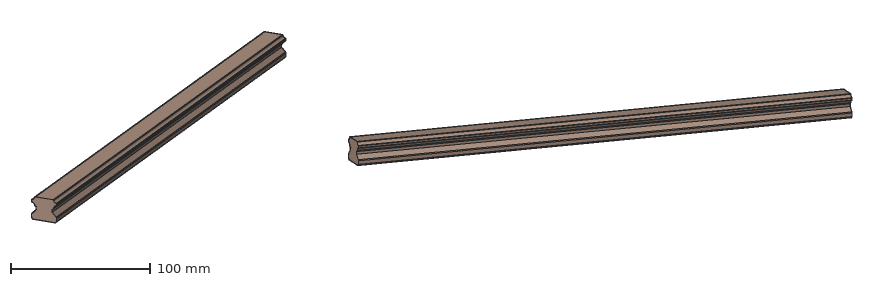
import cadquery as cq
import math

length = 380.0
width = 20.0
height = 17.5

bevel_size = 2.8
lip = 0.5
track_sag = 0.55
head_side_height = 1.3

waist_width = 13.0

foot_side_top = 3.8
foot_lip_width = 0.5
foot_lip_height = 0.8
foot_bevel = 1.0

half_width = width / 2
half_waist = waist_width / 2
slope_outer = half_width - foot_lip_width
slope_bottom = foot_side_top + foot_lip_height
web_bottom = slope_bottom + slope_outer - half_waist

track_outer = half_width - lip
track_inner = half_width - bevel_size + lip
track_rise = bevel_size - lip
head_side_top = height - bevel_size
head_side_bottom = head_side_top - head_side_height
web_top = head_side_bottom - (half_width - half_waist)

track_shift = track_sag * math.sqrt(0.5)
track_mid_x = half_width - bevel_size / 2 - track_shift
track_mid_rise = bevel_size / 2 - track_shift

half_rail = (
    cq.Workplane("XZ")
    .moveTo(0, 0)
    .lineTo(half_width - foot_bevel, 0)
    .lineTo(half_width, foot_bevel)
    .lineTo(half_width, foot_side_top)
    .lineTo(slope_outer, slope_bottom)
    .lineTo(half_waist, web_bottom)
    .lineTo(half_waist, web_top)
    .lineTo(track_inner, head_side_bottom - track_rise)
    .threePointArc((track_mid_x, head_side_bottom - track_mid_rise), (track_outer, head_side_bottom - lip))
    .lineTo(half_width, head_side_bottom)
    .lineTo(half_width, head_side_top)
    .lineTo(track_outer, head_side_top + lip)
    .threePointArc((track_mid_x, head_side_top + track_mid_rise), (track_inner, head_side_top + track_rise))
    .lineTo(half_width - bevel_size, height)
    .lineTo(0, height)
    .close()
    .extrude(length / 2, both=True)
)

result = half_rail.union(half_rail.mirror("YZ"))